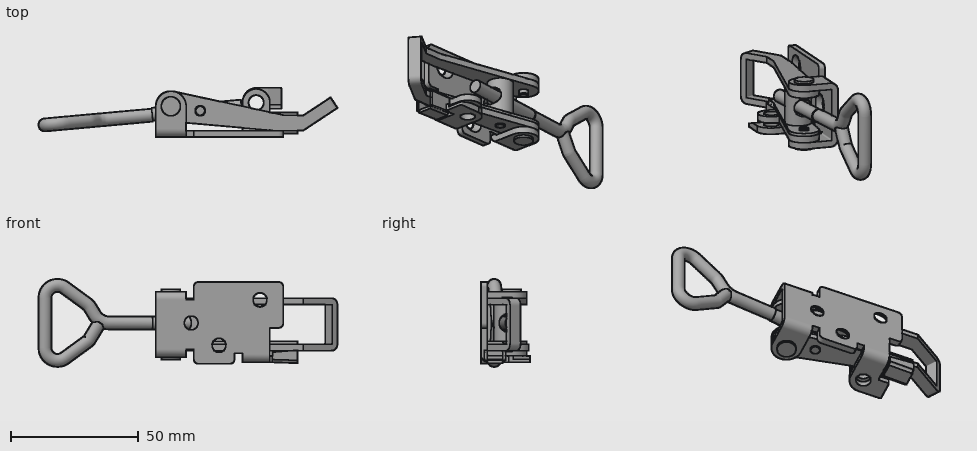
import cadquery as cq
import math

SHEET = 2.6
BEND_OUTER = 3.2
BEND_INNER = BEND_OUTER - SHEET
CUT_MARGIN = 1.2

LEVER_HALF = 10.3
LEVER_INNER = LEVER_HALF - SHEET

PIVOT_Y = 12.0
EAR_RADIUS = 6.0
EAR_OUTER = LEVER_HALF + SHEET

RIVET_RADIUS = 1.9
RIVET_HEAD_RADIUS = 3.7
RIVET_HEAD_HEIGHT = 0.9
RIVET_TIP_Z = 5.7
RIVET_CHAMFER = 0.4

CATCH_THICKNESS = 1.2
CATCH_INNER_Z = -LEVER_INNER + CATCH_THICKNESS

TRUNNION_X = 11.5
TRUNNION_Y = 10.3
TRUNNION_RADIUS = 5.1
TRUNNION_PIN_RADIUS = 2.0
TRUNNION_PIN_PROUD = 0.4
TRUNNION_PIN_CHAMFER = 0.2
TRUNNION_BORE_RADIUS = 3.5
AXIS_Z = (LEVER_INNER + CATCH_INNER_Z) / 2

LUG_LEFT = 28.0
LUG_WIDTH = 10.8
LUG_RADIUS = LUG_WIDTH / 2
LUG_RIGHT = LUG_LEFT + LUG_WIDTH
LUG_X = LUG_LEFT + LUG_RADIUS
LUG_Y = 13.5
LUG_HOLE_RADIUS = 2.9

LEVER_TOP_Y = 8.5
LEVER_BOTTOM_Y = SHEET
LEVER_TOP_START_X = 44.2
LEVER_BOTTOM_START_X = 39.8
LEVER_KINK_X = 51.8
GRIP_ANGLE = 33.5
GRIP_LENGTH = 16.0
GRIP_BEND_OUTER = 2.8
GRIP_BEND_INNER = GRIP_BEND_OUTER - SHEET


def block(x_range, y_range, z_range):
    """Box from its limits along X, Y and Z."""
    sizes = [high - low for low, high in (x_range, y_range, z_range)]
    corner = (x_range[0], y_range[0], z_range[0])
    return cq.Workplane("XY").box(*sizes, centered=False).translate(corner)


def disc(x, y, radius, z_low, z_high):
    """Cylinder along Z from z_low to z_high."""
    return cq.Workplane("XY", origin=(x, y, z_low)).circle(radius).extrude(z_high - z_low)


def tangent_point(x, y, side):
    """Point where a line from (x, y) touches the pivot end; side is 1 above, -1 below."""
    distance = math.hypot(x, y - PIVOT_Y)
    bearing = math.atan2(y - PIVOT_Y, x)
    angle = bearing + side * math.acos(EAR_RADIUS / distance)
    return (EAR_RADIUS * math.cos(angle), PIVOT_Y + EAR_RADIUS * math.sin(angle))


def grip_corners():
    """Top and bottom corners of the square end of the lever grip."""
    along = (math.cos(math.radians(GRIP_ANGLE)), math.sin(math.radians(GRIP_ANGLE)))
    depth = (LEVER_TOP_Y - LEVER_BOTTOM_Y) * along[0]
    bottom = (LEVER_KINK_X + GRIP_LENGTH * along[0], LEVER_BOTTOM_Y + GRIP_LENGTH * along[1])
    top = (bottom[0] - depth * along[1], bottom[1] + depth * along[0])
    return top, bottom


def arm_outline(plane, end_points):
    """Pivot end of an arm, closed at the right by the given points from top to bottom."""
    return (
        plane.moveTo(*tangent_point(LEVER_TOP_START_X, LEVER_TOP_Y, 1))
        .lineTo(LEVER_TOP_START_X, LEVER_TOP_Y)
        .polyline(end_points, includeCurrent=True)
        .lineTo(LEVER_BOTTOM_START_X, LEVER_BOTTOM_Y)
        .lineTo(*tangent_point(LEVER_BOTTOM_START_X, LEVER_BOTTOM_Y, -1))
        .threePointArc((-EAR_RADIUS, PIVOT_Y), tangent_point(LEVER_TOP_START_X, LEVER_TOP_Y, 1))
        .close()
    )


BASE_LEFT = 8.9
BASE_RIGHT = 44.0
BASE_TOP_Z = 16.6
BASE_BOTTOM_Z = -15.4
BASE_FOOT_RIGHT = 24.9
BASE_STEP_Z = -1.4
BASE_NOTCH_Z = -11.3
BASE_CORNER = 1.9
NECK_HALF = EAR_OUTER - BEND_OUTER
FLANGE_OUTER_Z = -14.9
FLANGE_INNER_Z = FLANGE_OUTER_Z + SHEET
FLANGE_TOP_Y = 19.3
FLANGE_CORNER = 5.7
RAMP_START_X = 38.0
RAMP_END_X = 43.3
RAMP_BOTTOM_Y = 11.0
RAMP_TIP_THICKNESS = 1.3
RAMP_START_Y = 12.6
RAMP_CORNER = 0.5
BASE_HOLES = [(34.9, 9.6), (8.0, AXIS_Z), (18.8, -8.2)]
BASE_HOLE_RADIUS = 2.7
HOLE_LAND = 0.5


def base_plate():
    wings = (
        block((BASE_LEFT, BASE_RIGHT), (0, SHEET), (BASE_STEP_Z, BASE_TOP_Z))
        .edges("|Y and (>X or (<X and >Z))")
        .fillet(BASE_CORNER)
    )
    foot = (
        block((BASE_LEFT, BASE_FOOT_RIGHT), (0, SHEET), (BASE_BOTTOM_Z, BASE_STEP_Z))
        .edges("|Y and <Z")
        .fillet(BASE_CORNER)
    )
    middle = block((BASE_LEFT, LUG_RIGHT), (0, SHEET), (BASE_NOTCH_Z, 0))
    return wings.union(foot).union(middle)


def base_channel():
    """Neck with two upright ears, bent from one sheet."""
    neck = block((-EAR_RADIUS, BASE_LEFT), (0, SHEET), (-NECK_HALF, NECK_HALF))
    ears = block((-EAR_RADIUS, EAR_RADIUS), (0, PIVOT_Y), (-EAR_OUTER, EAR_OUTER))
    ears = ears.edges("|X and <Y").fillet(BEND_OUTER)
    ears = ears.union(disc(0, PIVOT_Y, EAR_RADIUS, -EAR_OUTER, EAR_OUTER))
    space = block(
        (-EAR_RADIUS - CUT_MARGIN, EAR_RADIUS + CUT_MARGIN),
        (SHEET, PIVOT_Y + EAR_RADIUS + CUT_MARGIN),
        (-LEVER_HALF, LEVER_HALF),
    )
    space = space.edges("|X and <Y").fillet(BEND_INNER)
    bores = disc(0, PIVOT_Y, RIVET_RADIUS, -EAR_OUTER, EAR_OUTER)
    return neck.union(ears.cut(space).cut(bores))


def padlock_flange():
    """Upright flange bent from the lower edge, with a padlock hole and a ramped tip."""
    profile = (
        cq.Workplane("YZ", origin=(LUG_LEFT, 0, 0))
        .moveTo(0, BASE_NOTCH_Z)
        .lineTo(0, FLANGE_OUTER_Z + BEND_OUTER)
        .radiusArc((BEND_OUTER, FLANGE_OUTER_Z), -BEND_OUTER)
        .lineTo(FLANGE_TOP_Y, FLANGE_OUTER_Z)
        .lineTo(FLANGE_TOP_Y, FLANGE_INNER_Z)
        .lineTo(BEND_OUTER, FLANGE_INNER_Z)
        .radiusArc((SHEET, FLANGE_INNER_Z + BEND_INNER), BEND_INNER)
        .lineTo(SHEET, BASE_NOTCH_Z)
        .close()
    )
    flange = profile.extrude(LUG_WIDTH)
    flange = flange.edges("|Z and >Y and <X").fillet(FLANGE_CORNER)
    tip = (
        block((LUG_X, RAMP_END_X), (RAMP_BOTTOM_Y, FLANGE_TOP_Y), (FLANGE_OUTER_Z, FLANGE_INNER_Z))
        .edges("|Z and >X")
        .fillet(RAMP_CORNER)
    )
    ramp_cut = (
        cq.Workplane("XZ", origin=(0, RAMP_START_Y, 0))
        .moveTo(RAMP_START_X, FLANGE_INNER_Z)
        .lineTo(RAMP_END_X, FLANGE_OUTER_Z + RAMP_TIP_THICKNESS)
        .lineTo(RAMP_END_X, FLANGE_INNER_Z)
        .close()
        .extrude(RAMP_START_Y - FLANGE_TOP_Y)
    )
    padlock_hole = disc(LUG_X, LUG_Y, LUG_HOLE_RADIUS, FLANGE_OUTER_Z, FLANGE_INNER_Z)
    return flange.union(tip).cut(ramp_cut).cut(padlock_hole)


def screw_hole(x, z):
    """Through hole, countersunk from the side that faces the lever."""
    sink_depth = SHEET - HOLE_LAND
    sink_radius = BASE_HOLE_RADIUS + sink_depth
    half_section = [
        (0, 0), (BASE_HOLE_RADIUS, 0), (BASE_HOLE_RADIUS, HOLE_LAND), (sink_radius, SHEET), (0, SHEET)
    ]
    hole = cq.Workplane("XY").polyline(half_section).close().revolve(360, (0, 0), (0, 1))
    return hole.translate((x, 0, z))


def make_base():
    base = base_plate().union(base_channel()).union(padlock_flange())
    for x, z in BASE_HOLES:
        base = base.cut(screw_hole(x, z))
    return base


def make_lever():
    """Two arms joined by a bent bridge at the grip end; the lower arm carries a padlock lug."""
    grip_top, grip_bottom = grip_corners()
    outline = arm_outline(
        cq.Workplane("XY", origin=(0, 0, -LEVER_HALF)),
        [(LEVER_KINK_X, LEVER_TOP_Y), grip_top, grip_bottom, (LEVER_KINK_X, LEVER_BOTTOM_Y)],
    )
    lever = outline.extrude(2 * LEVER_HALF)
    lever = rounded_grip(lever)

    reach = grip_bottom[0] + EAR_RADIUS + GRIP_LENGTH
    space = (
        block((-2 * reach, -SHEET), (-reach, reach), (-LEVER_INNER, LEVER_INNER))
        .edges("|Y and >X")
        .fillet(GRIP_BEND_INNER)
        .rotate((0, 0, 0), (0, 0, 1), GRIP_ANGLE)
        .translate((*grip_bottom, 0))
    )
    lever = lever.cut(space)

    lever = lever.union(lever_lug())
    lever = lever.cut(disc(LUG_X, LUG_Y, LUG_HOLE_RADIUS, -LEVER_HALF, -LEVER_INNER))
    lever = lever.cut(disc(0, PIVOT_Y, RIVET_RADIUS, -LEVER_HALF, LEVER_HALF))
    lever = lever.cut(disc(TRUNNION_X, TRUNNION_Y, TRUNNION_PIN_RADIUS, -LEVER_HALF, LEVER_HALF))

    seat = block(
        (LUG_RIGHT, LEVER_TOP_START_X), (LEVER_TOP_Y, PIVOT_Y), (-LEVER_HALF, -LEVER_INNER)
    )
    return lever.cut(seat)


def rounded_grip(lever):
    """Round the two outer bends at the end of the grip."""
    across_grip = cq.Vector(
        -math.sin(math.radians(GRIP_ANGLE)), math.cos(math.radians(GRIP_ANGLE)), 0
    )
    return lever.edges(cq.selectors.ParallelDirSelector(across_grip)).edges(">X").fillet(GRIP_BEND_OUTER)


def lever_lug():
    post = block((LUG_LEFT, LUG_RIGHT), (LEVER_TOP_Y - CUT_MARGIN, LUG_Y), (-LEVER_HALF, -LEVER_INNER))
    return post.union(disc(LUG_X, LUG_Y, LUG_RADIUS, -LEVER_HALF, -LEVER_INNER))


HOOK_LEFT = 39.6
HOOK_RIGHT = 49.6
HOOK_TOP_Y = LEVER_TOP_Y + CATCH_THICKNESS
HOOK_BOTTOM_Y = LEVER_BOTTOM_Y - CATCH_THICKNESS
HOOK_OUTER_LEFT_Z = -14.9
HOOK_OUTER_RIGHT_Z = -15.2
HOOK_LIP_LEFT_Z = -10.9
HOOK_LIP_RIGHT_Z = -10.1
HOOK_BEND = CATCH_THICKNESS


def hook_section(workplane, outer_z, lip_z):
    """C-shaped section: over the arm, down outside it and back under towards it."""
    wall_z = outer_z + CATCH_THICKNESS
    return (
        workplane.moveTo(LEVER_TOP_Y, CATCH_INNER_Z)
        .radiusArc((HOOK_TOP_Y, CATCH_INNER_Z - HOOK_BEND), -HOOK_BEND)
        .lineTo(HOOK_TOP_Y, outer_z + HOOK_BEND)
        .radiusArc((HOOK_TOP_Y - HOOK_BEND, outer_z), -HOOK_BEND)
        .lineTo(HOOK_BOTTOM_Y + HOOK_BEND, outer_z)
        .radiusArc((HOOK_BOTTOM_Y, outer_z + HOOK_BEND), -HOOK_BEND)
        .lineTo(HOOK_BOTTOM_Y, lip_z)
        .lineTo(LEVER_BOTTOM_Y, lip_z)
        .lineTo(LEVER_BOTTOM_Y, wall_z)
        .lineTo(LEVER_TOP_Y, wall_z)
        .close()
    )


def make_catch():
    plate = arm_outline(
        cq.Workplane("XY", origin=(0, 0, -LEVER_INNER)),
        [(HOOK_RIGHT, LEVER_TOP_Y), (HOOK_RIGHT, LEVER_BOTTOM_Y)],
    ).extrude(CATCH_THICKNESS)
    start = cq.Workplane("YZ", origin=(HOOK_LEFT, 0, 0))
    hook = hook_section(start, HOOK_OUTER_LEFT_Z, HOOK_LIP_LEFT_Z)
    hook = hook.workplane(offset=HOOK_RIGHT - HOOK_LEFT)
    hook = hook_section(hook, HOOK_OUTER_RIGHT_Z, HOOK_LIP_RIGHT_Z).loft(ruled=True)
    catch = plate.union(hook)
    catch = catch.cut(disc(0, PIVOT_Y, RIVET_RADIUS, -LEVER_INNER, CATCH_INNER_Z))
    return catch.cut(disc(TRUNNION_X, TRUNNION_Y, TRUNNION_PIN_RADIUS, -LEVER_INNER, CATCH_INNER_Z))


ROD_RADIUS = 2.6
ROD_TILT = 5.2
ROD_END = 16.3
THREAD_START = -18.8
THREAD_OFFSET = 0.4
LOOP_LEFT = -60.9
LOOP_CORNER = (LOOP_LEFT, 19.4)
LOOP_KNEE = (-43.7, 6.9)
LOOP_JUNCTION = -39.5
LOOP_CORNER_RADIUS = 4.9
LOOP_KNEE_RADIUS = 4.7
LOOP_NECK_RADIUS = 6.5


def rounded_path(start, corners, end):
    """Path in the XZ plane; each corner is (point, radius), and a zero radius leaves it sharp."""
    points = [cq.Vector(x, 0, z) for x, z in [start, *[point for point, _ in corners], end]]
    edges = []
    reached = points[0]
    for before, corner, after, (_, radius) in zip(points, points[1:], points[2:], corners):
        inward = (before - corner).normalized()
        outward = (after - corner).normalized()
        half_angle = inward.getAngle(outward) / 2
        setback = radius / math.tan(half_angle)
        arc_start = corner + inward * setback
        edges.append(cq.Edge.makeLine(reached, arc_start))
        reached = corner
        if radius > 0:
            sagitta_point = radius / math.sin(half_angle) - radius
            arc_middle = corner + (inward + outward).normalized() * sagitta_point
            reached = corner + outward * setback
            edges.append(cq.Edge.makeThreePointArc(arc_start, arc_middle, reached))
    edges.append(cq.Edge.makeLine(reached, points[-1]))
    return cq.Wire.assembleEdges(edges)


def loop_half(side, knee_radius, neck_radius, end_x):
    """Half of the pull loop, from the middle of its end bar to the rod axis; side is 1 or -1."""
    corners = [
        ((LOOP_CORNER[0], side * LOOP_CORNER[1]), LOOP_CORNER_RADIUS),
        ((LOOP_KNEE[0], side * LOOP_KNEE[1]), knee_radius),
    ]
    if neck_radius > 0:
        corners.append(((LOOP_JUNCTION, 0), neck_radius))
    path = rounded_path((LOOP_LEFT, 0), corners, (end_x, 0))
    section = cq.Workplane("XY").center(LOOP_LEFT, 0).circle(ROD_RADIUS)
    return section.sweep(cq.Workplane(path), transition="round")


def make_pull_rod():
    """Wire bent round into a loop whose lower end butts against the rod."""
    wire = loop_half(1, LOOP_KNEE_RADIUS, LOOP_NECK_RADIUS, THREAD_START)
    return_end = loop_half(-1, 0, 0, LOOP_JUNCTION)
    thread = cq.Workplane("YZ", origin=(THREAD_START, THREAD_OFFSET, 0)).circle(ROD_RADIUS)
    thread = thread.extrude(ROD_END - THREAD_START)
    return place_on_trunnion(wire.union(return_end).union(thread))


def place_on_trunnion(body):
    """Tilt a body lying along X and move its origin to the middle of the trunnion."""
    tilted = body.rotate((0, 0, 0), (0, 0, 1), ROD_TILT)
    return tilted.translate((TRUNNION_X, TRUNNION_Y, AXIS_Z))


def make_trunnion():
    pin_end = LEVER_HALF + TRUNNION_PIN_PROUD
    pin = disc(TRUNNION_X, TRUNNION_Y, TRUNNION_PIN_RADIUS, -pin_end, pin_end)
    pin = pin.faces("<Z or >Z").chamfer(TRUNNION_PIN_CHAMFER)
    barrel = disc(TRUNNION_X, TRUNNION_Y, TRUNNION_RADIUS, CATCH_INNER_Z, LEVER_INNER)
    bore = cq.Workplane("YZ").circle(TRUNNION_BORE_RADIUS).extrude(2 * TRUNNION_RADIUS, both=True)
    return barrel.union(pin).cut(place_on_trunnion(bore))


def make_rivet(side):
    """Rivet through one ear and arm, with its head outside; side is 1 at the top, -1 below."""
    shank = disc(0, PIVOT_Y, RIVET_RADIUS, RIVET_TIP_Z, EAR_OUTER)
    shank = shank.faces("<Z").chamfer(RIVET_CHAMFER)
    head = disc(0, PIVOT_Y, RIVET_HEAD_RADIUS, EAR_OUTER, EAR_OUTER + RIVET_HEAD_HEIGHT)
    rivet = shank.union(head)
    return rivet if side > 0 else rivet.mirror("XY")


base = make_base()
lever = make_lever()
catch = make_catch()
pull_rod = make_pull_rod()
trunnion = make_trunnion()
rivets = [make_rivet(side) for side in (1, -1)]

result = cq.Compound.makeCompound([
    base.val(),
    lever.val(),
    catch.val(),
    pull_rod.val(),
    trunnion.val(),
    *[rivet.val() for rivet in rivets],
])